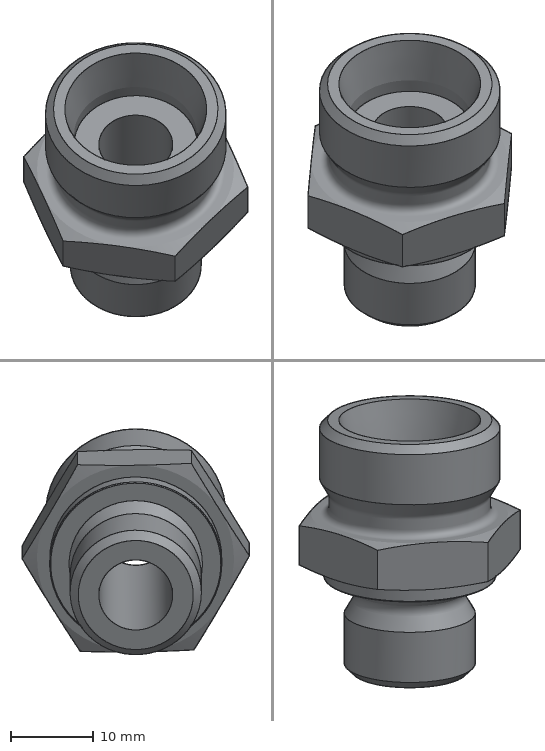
import cadquery as cq
import math

total_height = 32.0
bore_radius = 9.0 / 2

hex_across_flats = 24.0
hex_bottom = 14.0
hex_top = 20.0
hex_bevel_angle = 15.0

thread_chamfer = 1.0
lower_radius = 16.0 / 2
lower_thread_top = 7.4
runout_angle = 30.0
neck_arc_bottom = 9.12
neck_arc_top = 10.37
neck_arc_top_radius = 6.95
neck_cone_top_radius = 8.13

collar_radius = 21.0 / 2
collar_bottom = 12.0
collar_chamfer = 0.13

upper_radius = 22.0 / 2
upper_thread_bottom = 24.6
upper_neck_radius = 19.7 / 2
upper_neck_fillet = 1.0
upper_neck_top = 22.35
upper_arc_top = 22.85

seat_radius = 15.0 / 2
seat_mouth_radius = 8.65
seat_taper_angle = 12.0
seat_depth = 7.0


def runout_depth(length):
    """Radial drop of a thread runout cone of the given axial length."""
    return length * math.tan(math.radians(runout_angle))


def turned_body():
    """Revolved outside shape, solid through the middle."""
    neck_arc_radius = lower_radius - runout_depth(neck_arc_bottom - lower_thread_top)
    upper_arc_radius = upper_radius - runout_depth(upper_thread_bottom - upper_arc_top)
    fillet_mid_offset = upper_neck_fillet * (1 - math.sqrt(0.5))
    profile = (
        cq.Workplane("XZ")
        .lineTo(lower_radius - thread_chamfer, 0)
        .lineTo(lower_radius, thread_chamfer)
        .lineTo(lower_radius, lower_thread_top)
        .lineTo(neck_arc_radius, neck_arc_bottom)
        .tangentArcPoint((neck_arc_top_radius, neck_arc_top), relative=False)
        .lineTo(neck_cone_top_radius, collar_bottom)
        .lineTo(collar_radius - collar_chamfer, collar_bottom)
        .lineTo(collar_radius, collar_bottom + collar_chamfer)
        .lineTo(collar_radius, hex_top)
        .lineTo(upper_neck_radius + upper_neck_fillet, hex_top)
        .threePointArc(
            (upper_neck_radius + fillet_mid_offset, hex_top + fillet_mid_offset),
            (upper_neck_radius, hex_top + upper_neck_fillet),
        )
        .lineTo(upper_neck_radius, upper_neck_top)
        .tangentArcPoint((upper_arc_radius, upper_arc_top), relative=False)
        .lineTo(upper_radius, upper_thread_bottom)
        .lineTo(upper_radius, total_height - thread_chamfer)
        .lineTo(upper_radius - thread_chamfer, total_height)
        .lineTo(0, total_height)
        .close()
    )
    return profile.revolve(360, (0, 0, 0), (0, 1, 0))


def hexagon():
    """Hexagon with corners on the Y axis, bevelled at both faces."""
    flat_radius = hex_across_flats / 2
    corner_radius = flat_radius / math.cos(math.radians(30))
    corner_drop = (corner_radius - flat_radius) * math.tan(math.radians(hex_bevel_angle))
    prism = (
        cq.Workplane("XY", origin=(0, 0, hex_bottom))
        .polygon(6, 2 * corner_radius)
        .extrude(hex_top - hex_bottom)
        .rotate((0, 0, 0), (0, 0, 1), 30)
    )
    bevel_envelope = (
        cq.Workplane("XZ")
        .moveTo(0, hex_bottom)
        .lineTo(flat_radius, hex_bottom)
        .lineTo(corner_radius, hex_bottom + corner_drop)
        .lineTo(corner_radius, hex_top - corner_drop)
        .lineTo(flat_radius, hex_top)
        .lineTo(0, hex_top)
        .close()
        .revolve(360, (0, 0, 0), (0, 1, 0))
    )
    return prism.intersect(bevel_envelope)


def inner_cavity():
    """Through bore opening into the stepped, tapered tube seat."""
    seat_floor = total_height - seat_depth
    taper_length = (seat_mouth_radius - seat_radius) / math.tan(math.radians(seat_taper_angle))
    return (
        cq.Workplane("XZ")
        .lineTo(bore_radius, 0)
        .lineTo(bore_radius, seat_floor)
        .lineTo(seat_radius, seat_floor)
        .lineTo(seat_radius, total_height - taper_length)
        .lineTo(seat_mouth_radius, total_height)
        .lineTo(0, total_height)
        .close()
        .revolve(360, (0, 0, 0), (0, 1, 0))
    )


result = turned_body().union(hexagon()).cut(inner_cavity())